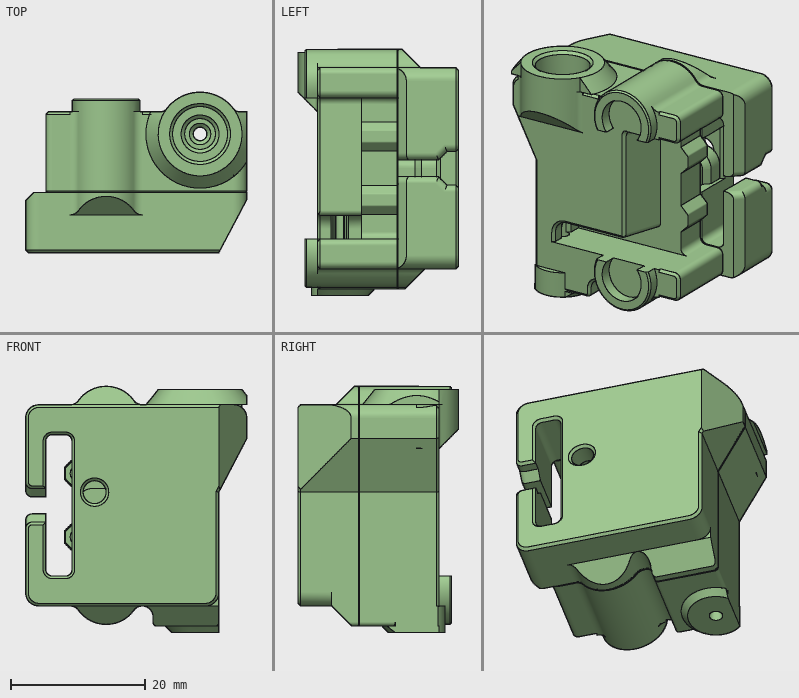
import cadquery as cq
import math


plate_height = 30.02
plate_mid = plate_height / 2
lower_right = 28.8
right_side = 33.0
slope_bottom = 16.98
slope_top = 25.0
split_y = 9.0
rear_y = 21.05
frame_width = 3.0
frame_height = 4.5
corner_radius = 2.0
edge_radius = 1.0
edge_chamfer = 0.4
seam_chamfer = 0.2
back_left_chamfer = 1.2
side_wedge_depth = 7.95

slot_right = 6.9
slot_wall = 2.72
narrow_gap = 2.5
wide_gap = 5.0
gap_wide_depth = 1.73
gap_taper = (wide_gap - narrow_gap) / 2

access_x = 10.3
access_z = 16.98
access_diameter = 3.4
access_chamfer = 0.4
chamber_right = 13.23
chamber_bottom = 12.68
chamber_top = 21.3
chamber_chamfer = 0.55

slider_left = 7.55
slider_top = 17.53
slider_radius = 2.5
slider_step_y = 6.45
slider_step = 0.92

hump_x = 12.0
hump_radius = 5.07
hump_center_z = 27.7
hump_blend = 1.58
hump_rear_y = 22.95
hump_rear_chamfer = 0.25
hump_pocket_diameter = 7.0
blend_rise = plate_height + hump_blend - hump_center_z
blend_reach = hump_radius + hump_blend
hump_half_width = math.sqrt(blend_reach**2 - blend_rise**2)
top_slant_y = 5.65
bottom_slant_y = 5.05

foot_left = hump_x + hump_half_width + hump_blend
foot_depth = 3.0
foot_corner = 0.6

path_x = 26.02
path_y = 17.7
path_diameter = 2.0
inlet_top = 32.3
inlet_radius = 6.25
inlet_base_radius = 8.1
inlet_blend = 1.0
inlet_ramp_top = 26.4
outlet_bottom = -3.97
outlet_radius = 8.5 / 2
coupler_diameter = 8.2
coupler_chamfer = 0.45
coupler_floor = 27.55
funnel_diameter = 5.65
tube_diameter = 4.6
tube_floor = 24.25
guide_diameter = 3.2

boss_wall_x = 7.02
boss_wall_end = 14.48
leaning_wall_front_x = 10.65
leaning_wall_rear_x = 12.83
undercut_top = 7.97
undercut_end_x = 25.35
undercut_lip = 0.75
undercut_radius = 2.0
groove_mouth = 2.57
groove_floor = 1.32
groove_depth = 1.47

boss_x = 7.95
boss_flats = 4.35
boss_hole_diameter = 2.57
boss_hole_depth = 4.05
boss_heights = (10.3, 19.77)
boss_edge = 0.33


def along_y(y_start):
    """Sketch plane whose local axes are X and Z, at the given Y."""
    return cq.Workplane("XZ", origin=(0, y_start, 0))


def prism_y(points, y_start, y_end):
    return along_y(y_start).polyline(points).close().extrude(y_start - y_end)


def prism_x(points, x_start, x_end):
    plane = cq.Workplane("YZ", origin=(x_start, 0, 0))
    return plane.polyline(points).close().extrude(x_end - x_start)


def prism_z(points, z_start, z_end):
    plane = cq.Workplane("XY", origin=(0, 0, z_start))
    return plane.polyline(points).close().extrude(z_end - z_start)


def box(x_range, y_range, z_range):
    size = [high - low for low, high in (x_range, y_range, z_range)]
    corner = (x_range[0], y_range[0], z_range[0])
    return cq.Workplane("XY").box(*size, centered=False).translate(corner)


def path_turning(profile):
    """Solid of revolution about the filament path from (radius, Z) points."""
    turned = cq.Workplane("XZ").polyline(profile).close().revolve(360, (0, 0, 0), (0, 1, 0))
    return turned.translate((path_x, path_y, 0))


def outline(left):
    return [
        (left, 0),
        (lower_right, 0),
        (lower_right, slope_bottom),
        (right_side, slope_top),
        (right_side, plate_height),
        (left, plate_height),
    ]


def flip(body):
    """Mirror a body between the top and the underside of the plate."""
    return body.mirror("XY", (0, 0, plate_mid))


def hump_ridge(y_start, y_end):
    """Rounded ridge on the plate top with blended sides."""
    touch_x = hump_half_width * hump_radius / blend_reach
    touch_z = hump_center_z + blend_rise * hump_radius / blend_reach
    mid_angle = (math.atan2(-blend_rise, hump_half_width) - math.pi / 2) / 2
    mid_x = hump_half_width - hump_blend * math.cos(mid_angle)
    mid_z = plate_height + hump_blend + hump_blend * math.sin(mid_angle)
    bottom = plate_height - frame_height
    return (
        along_y(y_start)
        .moveTo(hump_x - hump_half_width, bottom)
        .lineTo(hump_x - hump_half_width, plate_height)
        .threePointArc((hump_x - mid_x, mid_z), (hump_x - touch_x, touch_z))
        .threePointArc((hump_x, hump_center_z + hump_radius), (hump_x + touch_x, touch_z))
        .threePointArc((hump_x + mid_x, mid_z), (hump_x + hump_half_width, plate_height))
        .lineTo(hump_x + hump_half_width, bottom)
        .close()
        .extrude(y_start - y_end)
    )


def slant_cutter(slant_y):
    """Wedge above the plate top that leaves a 45 degree face rising to the rear."""
    size = 2 * frame_height
    corners = [(slant_y, plate_height), (slant_y + size, plate_height + size)]
    corners += [(0, plate_height + size), (0, plate_height)]
    return prism_x(corners, 0, right_side)


def hump_end():
    """Part of the hump cylinder that stands out behind the rear housing."""
    end = (
        along_y(rear_y)
        .center(hump_x, hump_center_z)
        .circle(hump_radius)
        .extrude(rear_y - hump_rear_y)
        .faces(">Y")
        .chamfer(hump_rear_chamfer)
    )
    keep = box((0, right_side), (0, hump_rear_y), (plate_height - frame_height, 2 * plate_height))
    pocket = (
        along_y(rear_y)
        .center(hump_x, hump_center_z)
        .circle(hump_pocket_diameter / 2)
        .extrude(rear_y - hump_rear_y)
    )
    return end.intersect(keep).cut(pocket)


def foot(y_start, y_end):
    height = frame_height + foot_depth
    block = box((foot_left, lower_right), (y_start, y_end), (-foot_depth, height - foot_depth))
    block = block.edges("|Y and <Z").fillet(foot_corner)
    blend = box((foot_left - hump_blend, foot_left), (y_start, y_end), (-hump_blend, frame_height))
    hollow = (
        along_y(y_start)
        .center(foot_left - hump_blend, -hump_blend)
        .circle(hump_blend)
        .extrude(y_start - y_end)
    )
    return block.union(blend.cut(hollow))


def front_housing():
    body = prism_y(outline(0), 0, split_y)
    body = body.edges("|Y and (<X or (>X and >Z))").fillet(corner_radius)
    corner = cq.selectors.NearestToPointSelector((lower_right, split_y / 2, 0))
    body = body.edges(corner).fillet(corner_radius)
    body = body.cut(front_slot()).cut(entry_gap())
    body = body.cut(prism_z(
        [(0, split_y - back_left_chamfer), (back_left_chamfer, split_y), (0, split_y)], 0, plate_height))
    jaw_edges = cq.selectors.BoxSelector(
        (-0.35, 0, plate_mid - wide_gap), (back_left_chamfer, split_y, plate_mid + wide_gap))
    body = body.edges(jaw_edges).fillet(edge_radius)
    body = body.faces("<Y").chamfer(edge_chamfer)
    body = body.cut(prism_z(
        [(lower_right, 0), (right_side, side_wedge_depth), (right_side, 0)], 0, plate_height))
    top_hump = hump_ridge(top_slant_y, split_y).cut(slant_cutter(top_slant_y))
    low_hump = flip(hump_ridge(bottom_slant_y, split_y).cut(slant_cutter(bottom_slant_y)))
    low_foot = foot(bottom_slant_y, split_y).cut(flip(slant_cutter(bottom_slant_y)))
    body = body.union(top_hump).union(low_hump).union(low_foot)
    body = body.cut(chamber()).cut(access_hole())
    return body


def front_slot():
    slot = box((frame_width, slot_right), (0, split_y), (frame_height, plate_height - frame_height))
    return slot.edges("|Y").fillet(edge_radius)


def entry_gap():
    """Gap through the left frame bar, wide at the front face and narrow behind."""
    half_wide = wide_gap / 2
    half_narrow = narrow_gap / 2
    taper_end = gap_wide_depth + gap_taper
    lower = [(0, -half_wide), (gap_wide_depth, -half_wide), (taper_end, -half_narrow), (split_y, -half_narrow)]
    points = lower + [(y, -z) for y, z in reversed(lower)]
    return prism_x([(y, plate_mid + z) for y, z in points], 0, frame_width + edge_radius)


def chamber():
    """Space behind the slot wall that holds the sliding block."""
    space = box((slot_right, chamber_right), (slot_wall + chamber_chamfer, split_y), (chamber_bottom, chamber_top))
    mouth = prism_z(
        [(slot_right, slot_wall),
         (slot_right + chamber_chamfer, slot_wall + chamber_chamfer),
         (slot_right, slot_wall + chamber_chamfer)],
        chamber_bottom, chamber_top)
    return space.union(mouth)


def access_hole():
    hole = along_y(0).center(access_x, access_z).circle(access_diameter / 2).extrude(-split_y / 2)
    sink = cq.Solid.makeCone(
        access_diameter / 2 + access_chamfer, access_diameter / 2, access_chamfer,
        cq.Vector(access_x, 0, access_z), cq.Vector(0, 1, 0))
    return hole.union(cq.Workplane(sink))


def slider_block(inset, y_start, y_end):
    """Block resting on the chamber floor with a rounded upper left edge."""
    block = box((slider_left + inset, chamber_right), (y_start, y_end), (chamber_bottom, slider_top - inset))
    return block.edges("|Y and <X and >Z").fillet(slider_radius - inset)


def slider():
    head = slider_block(0, slot_wall + chamber_chamfer, slider_step_y)
    rounded_edges = cq.selectors.BoxSelector(
        (slider_left - 0.35, slider_step_y - 0.35, chamber_bottom + 0.35),
        (chamber_right - 0.35, slider_step_y + 0.35, slider_top + 0.35))
    head = head.edges(rounded_edges).chamfer(slider_step)
    return head.union(slider_block(slider_step, slider_step_y, split_y))


def rear_housing():
    body = prism_y(outline(frame_width), split_y, rear_y)
    body = body.edges("|Y and <X").fillet(edge_radius)
    body = body.edges("|Y and >X and >Z").fillet(corner_radius)
    body = body.cut(arm_opening()).cut(undercut())
    body = body.faces(">Y").chamfer(edge_chamfer)
    body = body.union(hump_ridge(split_y, rear_y)).union(flip(hump_ridge(split_y, rear_y)))
    body = body.union(foot(split_y, rear_y).faces(">Y").edges("<Z").chamfer(edge_chamfer))
    body = body.union(screw_bosses())
    rim = body.faces("<Y").val().outerWire().Edges()
    body = cq.Workplane(body.solids().val().chamfer(seam_chamfer, None, rim))
    lip = cq.selectors.NearestToPointSelector((leaning_wall_front_x, boss_wall_end + edge_radius, undercut_top))
    body = body.edges(lip).fillet(undercut_lip)
    body = body.cut(guide_groove())
    body = body.union(hump_end()).union(flip(hump_end()))
    body = body.union(inlet()).union(outlet())
    return body.cut(filament_bore())


def arm_opening():
    arm_top = plate_height - frame_height
    front_part = [(0, split_y), (boss_wall_x, split_y), (boss_wall_x, boss_wall_end), (0, boss_wall_end)]
    rear_part = [(0, boss_wall_end), (leaning_wall_front_x, boss_wall_end),
                 (leaning_wall_rear_x, rear_y), (0, rear_y)]
    front = prism_z(front_part, frame_height, arm_top).edges(">X and |Y").fillet(edge_radius)
    rear = prism_z(rear_part, frame_height, arm_top)
    wall_middle = ((leaning_wall_front_x + leaning_wall_rear_x) / 2, (boss_wall_end + rear_y) / 2, plate_mid)
    wall = rear.faces(cq.selectors.NearestToPointSelector(wall_middle))
    cut = front.union(wall.edges(">Z").fillet(edge_radius))
    for z in (frame_height, arm_top):
        cut = cut.union(bar_rounding(z))
    return cut


def bar_rounding(z):
    """Waste around the rounded inner long edge of an arm."""
    inward = 1 if z < plate_mid else -1
    square = box((frame_width, frame_width + edge_radius), (split_y, rear_y),
                 sorted((z, z - inward * edge_radius)))
    bar = (along_y(split_y).center(frame_width + edge_radius, z - inward * edge_radius)
           .circle(edge_radius).extrude(split_y - rear_y))
    return square.cut(bar)


def screw_bosses():
    corner_diameter = boss_flats / math.cos(math.pi / 8)
    bosses = cq.Workplane("XY")
    for z in boss_heights:
        boss = (along_y(split_y).center(boss_x, z).transformed(rotate=(0, 0, 22.5))
                .polygon(8, corner_diameter).extrude(split_y - boss_wall_end).edges("|Y and <X").fillet(boss_edge))
        hole = (along_y(split_y).center(boss_x, z).circle(boss_hole_diameter / 2)
                .extrude(-boss_hole_depth))
        bosses = bosses.union(boss.cut(hole))
    return bosses


def undercut():
    """Recess below the leaning wall that reaches the filament path."""
    recess = box((leaning_wall_front_x, undercut_end_x), (boss_wall_end, rear_y), (frame_height, undercut_top))
    return recess.edges("|Y and >X and >Z").fillet(undercut_radius)


def guide_groove():
    """Tapered groove that opens the filament path into the undercut."""
    end_x = undercut_end_x + groove_depth
    mouth = groove_mouth / 2
    floor = groove_floor / 2
    start_x = undercut_end_x - undercut_radius
    plan = [(start_x, path_y - mouth), (undercut_end_x, path_y - mouth), (end_x, path_y - floor),
            (end_x, path_y + floor), (undercut_end_x, path_y + mouth), (start_x, path_y + mouth)]
    return prism_z(plan, frame_height, undercut_top)


def inlet():
    flare = path_turning([
        (0, plate_height), (inlet_base_radius, plate_height), (inlet_radius, inlet_top), (0, inlet_top)])
    flare = flare.intersect(box((0, right_side), (0, rear_y), (0, inlet_top)))
    ramp_bottom = inlet_ramp_top - (path_y + inlet_radius - rear_y)
    collar = path_turning([(0, ramp_bottom), (inlet_radius, ramp_bottom), (inlet_radius, inlet_top), (0, inlet_top)])
    reach = rear_y + inlet_blend - path_y
    blend_x = math.sqrt((inlet_radius + inlet_blend) ** 2 - reach**2)
    touch = inlet_radius / (inlet_radius + inlet_blend)
    webs = prism_z(
        [(path_x - blend_x, rear_y - edge_chamfer), (path_x - blend_x, rear_y),
         (path_x - blend_x * touch, path_y + reach * touch),
         (path_x + blend_x * touch, path_y + reach * touch),
         (path_x + blend_x, rear_y), (path_x + blend_x, rear_y - edge_chamfer)],
        ramp_bottom, plate_height)
    for side in (-1, 1):
        relief = (cq.Workplane("XY", origin=(path_x + side * blend_x, rear_y + inlet_blend, ramp_bottom))
                  .circle(inlet_blend).extrude(plate_height - ramp_bottom))
        webs = webs.cut(relief)
    far_y = path_y + inlet_radius
    ramp = prism_x([(rear_y, ramp_bottom), (far_y, inlet_ramp_top), (far_y, ramp_bottom)], 0, 2 * right_side)
    behind = box((0, right_side), (path_y, far_y), (ramp_bottom, inlet_top))
    return flare.union(collar.intersect(behind)).union(webs).cut(ramp)


def outlet():
    base_radius = outlet_radius - outlet_bottom - foot_depth
    flare = path_turning([
        (0, -foot_depth), (base_radius, -foot_depth), (outlet_radius, outlet_bottom), (0, outlet_bottom)])
    flare = flare.intersect(box((0, lower_right), (0, rear_y), (outlet_bottom, 0)))
    collar = path_turning([(0, 0), (outlet_radius, 0), (outlet_radius, outlet_bottom), (0, outlet_bottom)])
    collar = collar.intersect(box((0, lower_right), (0, rear_y + corner_radius), (outlet_bottom, 0)))
    return flare.union(collar)


def filament_bore():
    coupler = coupler_diameter / 2
    funnel = funnel_diameter / 2
    tube = tube_diameter / 2
    guide = guide_diameter / 2
    hole = path_diameter / 2
    return path_turning([
        (0, inlet_top),
        (coupler + coupler_chamfer, inlet_top),
        (coupler, inlet_top - coupler_chamfer),
        (coupler, coupler_floor),
        (funnel, coupler_floor),
        (tube, coupler_floor - (funnel - tube)),
        (tube, tube_floor),
        (guide, tube_floor),
        (hole, tube_floor - (guide - hole)),
        (hole, outlet_bottom),
        (0, outlet_bottom),
    ])


front = front_housing()
rear = rear_housing()
block = slider()
result = cq.Compound.makeCompound([front.val(), rear.val(), block.val()])